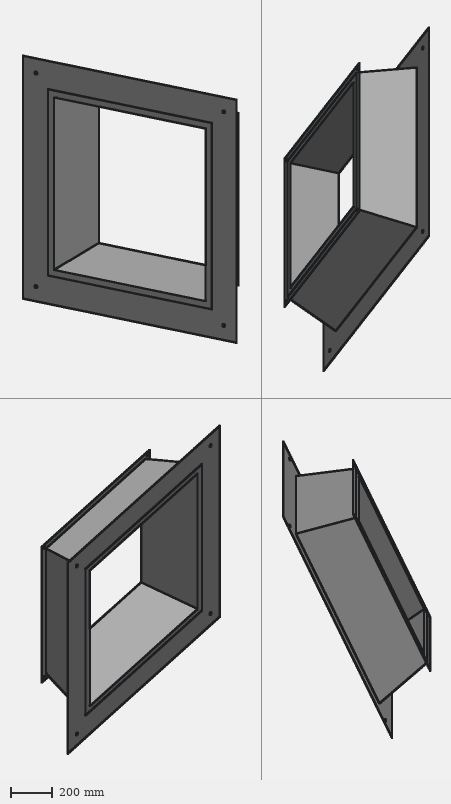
import cadquery as cq

depth = 290.0
sheet_thickness = 1.0

front_flange_side = 1240.0
back_flange_side = 880.0
front_hole_edge_distance = 75.0
back_hole_edge_distance = 20.0
hole_diameter = 13.0

front_opening = 880.0
back_opening = 740.0
lining_thickness = 35.0

front_lining_side = front_opening + 2 * lining_thickness
back_lining_side = back_opening + 2 * lining_thickness
front_skin_side = front_lining_side + 2 * sheet_thickness
back_skin_side = back_lining_side + 2 * sheet_thickness

front_y = -depth / 2
back_y = depth / 2


def plane_at(y):
    """XZ plane at the given Y, with its normal toward +Y."""
    return cq.Plane(origin=(0, y, 0), xDir=(1, 0, 0), normal=(0, 1, 0))


def frustum(front_side, back_side):
    """Square frustum over the full depth, tapering between its end squares."""
    return (
        cq.Workplane(plane_at(front_y))
        .rect(front_side, front_side)
        .workplane(offset=depth)
        .rect(back_side, back_side)
        .loft(ruled=True)
    )


def flange(side, start_y, hole_edge_distance):
    """Square sheet with a fixing hole at each corner."""
    hole_pitch = side - 2 * hole_edge_distance
    plate = cq.Workplane(plane_at(start_y)).rect(side, side).extrude(sheet_thickness)
    holes = (
        cq.Workplane(plane_at(start_y))
        .rect(hole_pitch, hole_pitch, forConstruction=True)
        .vertices()
        .circle(hole_diameter / 2)
        .extrude(sheet_thickness)
    )
    return plate.cut(holes)


def make_casing():
    """Sheet casing: tapered skin with a flange at each end."""
    skin = frustum(front_skin_side, back_skin_side)
    front_flange = flange(front_flange_side, front_y, front_hole_edge_distance)
    back_flange = flange(back_flange_side, back_y - sheet_thickness, back_hole_edge_distance)
    bore = frustum(front_lining_side, back_lining_side)
    return skin.union(front_flange).union(back_flange).cut(bore)


def make_lining():
    """Thick tapered lining inside the casing, flush with it at both ends."""
    outside = frustum(front_lining_side, back_lining_side)
    opening = frustum(front_opening, back_opening)
    return outside.cut(opening)


casing = make_casing()
lining = make_lining()

result = cq.Compound.makeCompound([casing.val(), lining.val()])